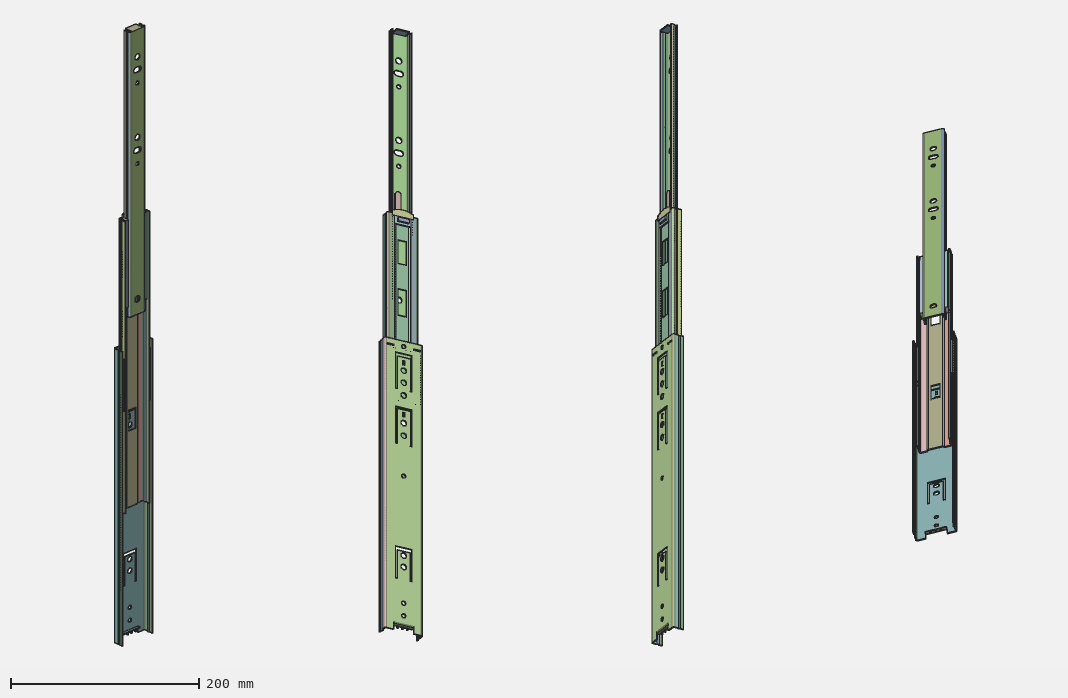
import cadquery as cq


WALL = 1.5
BEND = 2.0
BACK = 13.0

OUTER_FRONT = 0.0
MIDDLE_FRONT = 2.0
INNER_FRONT = 4.0

OUTER_HALF = 22.85
MIDDLE_HALF = 18.5
INNER_HALF = 11.95

OUTER_RACE = (6.5, 9.5)
MIDDLE_RACE = (3.0, 6.0)
INNER_RACE = (2.55, 5.45)
RACE_DEPTH = 0.9

OUTER_TOP = 349.5
MIDDLE_BOTTOM = 156.0
MIDDLE_TOP = 502.5
INNER_BOTTOM = 386.5
INNER_TOP = 725.0

HOLE = 6.5
PILOT = 4.7
TONGUE_HALF = 9.8
TONGUE_SLIT = 2.0
TONGUES = [(291.0, 334.0, 4.0), (225.0, 269.0, 2.0), (62.0, 101.0, 4.0)]
OUTER_HOLES = [314.0, 299.5, 284.0, 251.0, 235.5, 91.0, 77.5]
OUTER_PILOTS = [343.0, 187.0, 34.0, 19.0]
KEY_SLOTS = [323.0, 261.0]
KEY_WIDTH = 2.0
KEY_HEIGHT = 5.0
SIDE_SLOT_Z = 342.0
SIDE_SLOT_START = 11.5
SIDE_SLOT_END = 19.5
SIDE_SLOT_HEIGHT = 1.5
NOTCH_HALF = 11.95
NOTCH_TOP = 11.5
STOP_TAB_BOTTOM = 6.5
STOP_TAB_DEPTH = 4.0
TOOTH_DROP = 2.0
TOOTH_WIDTH = 1.5
TOOTH_PITCH = 6.0

CHANNEL_MOUTH_HALF = 9.8
CHANNEL_FLOOR_HALF = 7.6
CHANNEL_DEPTH = 1.5
WINDOW_HALF = 5.0
WINDOWS = [(444.0, 472.0), (381.0, 413.0), (246.5, 271.0)]

INNER_HOLE = 7.0
HOLE_GROUPS = [692.5, 597.0]
SLOT_DROP = 15.0
PILOT_DROP = 31.0
SLOT_LENGTH = 11.0
END_TAB_HALF = 7.6
END_HOLE_Z = 404.5

OUTER_CAGE_BOTTOM = 277.0
OUTER_CAGE_TOP = 339.0
OUTER_CAGE_HALF = 20.0
CAGE_BACK = 11.5
OUTER_CAGE_WALL = 1.5

BRIDGE_HALF = 12.7
BRIDGE_BOTTOM = 499.5
BRIDGE_TOP = 505.0
BRIDGE_CROWN = 508.0
BRIDGE_THICK = 2.0
INNER_CAGE_BOTTOM = 399.0
INNER_CAGE_HALF = 15.6

LATCH_HALF = 9.8
LATCH_BOTTOM = 490.0
LATCH_THICK = 1.8
PAD_HALF = 6.5
PAD_BOTTOM = 493.0
PAD_TOP = 497.0

LEVER_LEFT = 5.45
LEVER_RIGHT = -1.1
LEVER_BOTTOM = 478.5
LEVER_TOP = 533.0
LEVER_FRONT = 9.0


def block(x, y, z):
    """Box between the given (low, high) pairs."""
    return cq.Workplane("XY").box(
        x[1] - x[0], y[1] - y[0], z[1] - z[0], centered=False
    ).translate((x[0], y[0], z[0]))


def web_cut(front, half, z):
    """Cutter through a web whose front face is at X = front, centred on Y = 0."""
    return block((front - WALL, front + CHANNEL_DEPTH + 2 * WALL), (-half, half), z)


def holes(front, diameter, heights):
    """Round cutters through a web whose front face is at X = front, on the centre line."""
    return (
        cq.Workplane("YZ", origin=(front - WALL, 0, 0))
        .pushPoints([(0, z) for z in heights])
        .circle(diameter / 2)
        .extrude(3 * WALL)
    )


def rolled_channel(depth, half, race, bottom, top):
    """Channel with its web at X = 0 and its flanges toward +X.

    The flanges run at Y = +-half and carry an arched race between the two
    distances in race, dented toward Y = 0.
    """
    race_start, race_end = race
    race_middle = (race_start + race_end) / 2
    inside = half - WALL
    inside_bend = BEND - WALL
    mid_bend = 0.5 ** 0.5

    section = (
        cq.Workplane("XY", origin=(0, 0, bottom))
        .moveTo(0, 0)
        .lineTo(0, half - BEND)
        .threePointArc((BEND * (1 - mid_bend), half - BEND * (1 - mid_bend)), (BEND, half))
        .lineTo(race_start, half)
        .threePointArc((race_middle, half - RACE_DEPTH), (race_end, half))
        .lineTo(depth, half)
        .lineTo(depth, inside)
        .lineTo(race_end, inside)
        .threePointArc((race_middle, inside - RACE_DEPTH), (race_start, inside))
        .lineTo(BEND, inside)
        .threePointArc(
            (BEND - inside_bend * mid_bend, inside - inside_bend * (1 - mid_bend)),
            (WALL, inside - inside_bend))
        .lineTo(WALL, 0)
        .close()
    )
    side = section.extrude(top - bottom)
    return side.union(side.mirror("XZ"))


def cut_tongues(rail):
    """U-shaped slits that free three tongues in the outer web."""
    leg_centre = TONGUE_HALF - TONGUE_SLIT / 2
    for low, high, head in TONGUES:
        rail = rail.cut(web_cut(OUTER_FRONT, TONGUE_HALF, (high - head, high)))
        for y in (-leg_centre, leg_centre):
            leg = web_cut(OUTER_FRONT, TONGUE_SLIT / 2, (low, high))
            rail = rail.cut(leg.translate((0, y, 0)))
    return rail


def cut_side_slots(rail):
    """Narrow cross slots beside the top hole."""
    slot_centre = (SIDE_SLOT_START + SIDE_SLOT_END) / 2
    slot_half = (SIDE_SLOT_END - SIDE_SLOT_START) / 2
    for y in (-slot_centre, slot_centre):
        slot = web_cut(
            OUTER_FRONT, slot_half,
            (SIDE_SLOT_Z - SIDE_SLOT_HEIGHT / 2, SIDE_SLOT_Z + SIDE_SLOT_HEIGHT / 2))
        rail = rail.cut(slot.translate((0, y, 0)))
    return rail


def make_stop_tab():
    """Tab bent over from the web at the bottom notch, with three teeth below it."""
    tab = block((OUTER_FRONT, STOP_TAB_DEPTH), (-NOTCH_HALF, NOTCH_HALF), (STOP_TAB_BOTTOM, NOTCH_TOP))
    tab = tab.edges("<X and <Z").fillet(BEND)
    tab = tab.cut(block(
        (WALL, STOP_TAB_DEPTH), (-NOTCH_HALF, NOTCH_HALF), (STOP_TAB_BOTTOM + WALL, NOTCH_TOP)))
    for y in (-TOOTH_PITCH, 0, TOOTH_PITCH):
        tab = tab.union(block(
            (STOP_TAB_DEPTH - WALL, STOP_TAB_DEPTH),
            (y - TOOTH_WIDTH / 2, y + TOOTH_WIDTH / 2),
            (STOP_TAB_BOTTOM - TOOTH_DROP, STOP_TAB_BOTTOM + WALL)))
    return tab


def make_outer_rail():
    rail = rolled_channel(
        BACK - OUTER_FRONT, OUTER_HALF, OUTER_RACE, 0, OUTER_TOP)
    rail = cut_tongues(rail)
    rail = cut_side_slots(rail)
    rail = rail.cut(holes(OUTER_FRONT, HOLE, OUTER_HOLES))
    rail = rail.cut(holes(OUTER_FRONT, PILOT, OUTER_PILOTS))
    for z in KEY_SLOTS:
        rail = rail.cut(web_cut(
            OUTER_FRONT, KEY_WIDTH / 2, (z - KEY_HEIGHT / 2, z + KEY_HEIGHT / 2)))
    rail = rail.cut(web_cut(OUTER_FRONT, NOTCH_HALF, (0, NOTCH_TOP)))
    return rail.union(make_stop_tab())


def channel_prism(front):
    """Tapered bar the shape of the pressed channel, with its wide face at X = front."""
    return (
        cq.Workplane("XY", origin=(0, 0, MIDDLE_BOTTOM))
        .polyline([
            (front, -CHANNEL_MOUTH_HALF),
            (front + CHANNEL_DEPTH, -CHANNEL_FLOOR_HALF),
            (front + CHANNEL_DEPTH, CHANNEL_FLOOR_HALF),
            (front, CHANNEL_MOUTH_HALF),
        ])
        .close()
        .extrude(MIDDLE_TOP - MIDDLE_BOTTOM)
    )


def make_middle_rail():
    rail = rolled_channel(
        BACK - MIDDLE_FRONT, MIDDLE_HALF, MIDDLE_RACE, MIDDLE_BOTTOM, MIDDLE_TOP)
    rail = rail.translate((MIDDLE_FRONT, 0, 0))
    rail = rail.union(channel_prism(MIDDLE_FRONT + WALL))
    rail = rail.cut(channel_prism(MIDDLE_FRONT))
    for z in WINDOWS:
        rail = rail.cut(web_cut(MIDDLE_FRONT, WINDOW_HALF, z))

    rail = rail.cut(web_cut(MIDDLE_FRONT, BRIDGE_HALF, (BRIDGE_BOTTOM, MIDDLE_TOP)))
    return rail.cut(web_cut(MIDDLE_FRONT, LATCH_HALF, (LATCH_BOTTOM, BRIDGE_BOTTOM)))


def make_inner_rail():
    rail = rolled_channel(
        BACK - INNER_FRONT, INNER_HALF, INNER_RACE, INNER_BOTTOM, INNER_TOP)
    rail = rail.mirror("YZ").translate((BACK, 0, 0))

    rail = rail.union(block(
        (MIDDLE_FRONT, BACK), (-END_TAB_HALF, END_TAB_HALF), (INNER_TOP - WALL, INNER_TOP)))

    web_front = BACK - WALL
    cross_slots = (
        cq.Workplane("YZ", origin=(web_front - WALL, 0, 0))
        .pushPoints([(0, z - SLOT_DROP) for z in HOLE_GROUPS])
        .slot2D(SLOT_LENGTH, HOLE)
        .extrude(3 * WALL)
    )
    rail = rail.cut(cross_slots)
    rail = rail.cut(holes(web_front, INNER_HOLE, HOLE_GROUPS + [END_HOLE_Z]))
    return rail.cut(holes(web_front, PILOT, [z - PILOT_DROP for z in HOLE_GROUPS]))


def make_outer_cage():
    """Thin channel between the outer and middle rails."""
    length = (OUTER_CAGE_BOTTOM, OUTER_CAGE_TOP)
    inside = OUTER_CAGE_HALF - OUTER_CAGE_WALL
    web_front = OUTER_FRONT + WALL
    cage = block((web_front, CAGE_BACK), (-OUTER_CAGE_HALF, OUTER_CAGE_HALF), length)
    return cage.cut(block((MIDDLE_FRONT, CAGE_BACK), (-inside, inside), length))


def make_inner_cage():
    """Two strips beside the inner rail, joined by an arched bridge across its front."""
    bridge = (
        cq.Workplane("YZ", origin=(MIDDLE_FRONT, 0, 0))
        .moveTo(-BRIDGE_HALF, BRIDGE_BOTTOM)
        .lineTo(BRIDGE_HALF, BRIDGE_BOTTOM)
        .lineTo(BRIDGE_HALF, BRIDGE_TOP)
        .threePointArc((0, BRIDGE_CROWN), (-BRIDGE_HALF, BRIDGE_TOP))
        .close()
        .extrude(BRIDGE_THICK)
    )
    strip = block(
        (MIDDLE_FRONT + WALL, CAGE_BACK), (INNER_HALF, INNER_CAGE_HALF), (INNER_CAGE_BOTTOM, MIDDLE_TOP))
    return bridge.union(strip).union(strip.mirror("XZ"))


def make_stop_latch():
    """Plate below the cage bridge, with a pad that stands out to the front."""
    plate = block(
        (MIDDLE_FRONT, MIDDLE_FRONT + LATCH_THICK),
        (-LATCH_HALF, LATCH_HALF),
        (LATCH_BOTTOM, BRIDGE_BOTTOM))
    pad = block((OUTER_FRONT, MIDDLE_FRONT), (-PAD_HALF, PAD_HALF), (PAD_BOTTOM, PAD_TOP))
    return plate.union(pad)


def make_release_lever():
    """Strip lying on the inner web, with a rounded upper end."""
    radius = (LEVER_LEFT - LEVER_RIGHT) / 2
    return (
        cq.Workplane("YZ", origin=(LEVER_FRONT, 0, 0))
        .moveTo(LEVER_RIGHT, LEVER_BOTTOM)
        .lineTo(LEVER_LEFT, LEVER_BOTTOM)
        .lineTo(LEVER_LEFT, LEVER_TOP - radius)
        .threePointArc((LEVER_LEFT - radius, LEVER_TOP), (LEVER_RIGHT, LEVER_TOP - radius))
        .close()
        .extrude(BACK - WALL - LEVER_FRONT)
    )


outer_rail = make_outer_rail()
middle_rail = make_middle_rail()
inner_rail = make_inner_rail()
outer_cage = make_outer_cage()
inner_cage = make_inner_cage()
stop_latch = make_stop_latch()
release_lever = make_release_lever()

result = cq.Compound.makeCompound([
    *outer_rail.solids().vals(),
    *middle_rail.solids().vals(),
    *inner_rail.solids().vals(),
    *outer_cage.solids().vals(),
    *inner_cage.solids().vals(),
    *stop_latch.solids().vals(),
    *release_lever.solids().vals(),
])